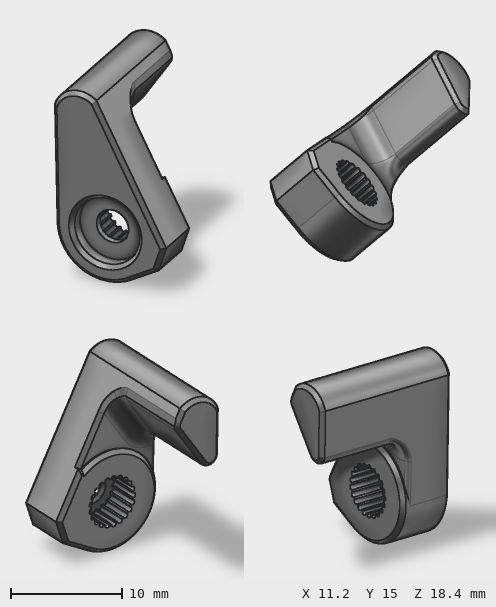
import cadquery as cq
import math

PIVOT_R = 5.0
PLATE_T = 5.0
BOSS_T = 5.5
POST_LENGTH = 15.0
EDGE = 0.4
BEVEL_ANGLE = 45.0
HOLE_D = 3.2
RECESS_D = 6.5
RECESS_DEPTH = 1.5
WEB_T = 0.7
SPLINE_TEETH = 21
SPLINE_D = 4.6
GROOVE_R = 0.24
SPLINE_PHASE = 180 / SPLINE_TEETH
POST_CORNER_R = 1.0
LEFT_OVERHANG = 0.008
RIGHT_OVERHANG = 0.02
CLEARANCE = 20.0
FLANK_RUN = 6.0
TOUCH = 0.01
ROOT_R = 2.0
SPUR_RISE = 2.0

TIP_LEFT = (-5.25, 11.55)
TIP_TOP = (-2.8, 13.37)
TIP_RIGHT = (-1.07, 12.74)
NOSE_TOP_X = 5.92
NOSE_BOTTOM = (5.15, -2.87)

POST_LEFT_Z = 7.17
POST_RIGHT_Z = 11.25


def tangent_point(corner, side):
    """Where the line from corner touches the pivot circle; side is +1 or -1."""
    angle = math.atan2(corner[1], corner[0])
    angle += side * math.acos(PIVOT_R / math.hypot(*corner))
    return (PIVOT_R * math.cos(angle), PIVOT_R * math.sin(angle))


def along(point, direction, distance):
    """Point reached from a point by going a distance in a direction."""
    return (point[0] + distance * direction[0], point[1] + distance * direction[1])


def unit(vector):
    length = math.hypot(*vector)
    return (vector[0] / length, vector[1] / length)


def bisector(first, second):
    """Unit direction halfway between two directions of equal length."""
    return unit((first[0] + second[0], first[1] + second[1]))


LEFT_TANGENT = tangent_point(TIP_LEFT, 1)
RIGHT_TANGENT = tangent_point(TIP_RIGHT, -1)
BOTTOM_TANGENT = tangent_point(NOSE_BOTTOM, -1)
LEFT_NORMAL = unit(LEFT_TANGENT)
RIGHT_NORMAL = unit(RIGHT_TANGENT)
UP_LEFT_FLANK = (LEFT_NORMAL[1], -LEFT_NORMAL[0])
UP_RIGHT_FLANK = (-RIGHT_NORMAL[1], RIGHT_NORMAL[0])
LOWER_LEFT_MID = along((0, 0), bisector(LEFT_TANGENT, BOTTOM_TANGENT), PIVOT_R)
NOSE_TOP = (NOSE_TOP_X, (PIVOT_R - RIGHT_NORMAL[0] * NOSE_TOP_X) / RIGHT_NORMAL[1])


def corner_center(normal, z, overhang):
    """Centre at height z of a post corner touching the flank with this normal."""
    return ((PIVOT_R + overhang - POST_CORNER_R - normal[1] * z) / normal[0], z)


POST_LEFT = corner_center(LEFT_NORMAL, POST_LEFT_Z, LEFT_OVERHANG)
POST_RIGHT = corner_center(RIGHT_NORMAL, POST_RIGHT_Z, RIGHT_OVERHANG)
UNDERSIDE_DIR = unit((POST_RIGHT[0] - POST_LEFT[0], POST_RIGHT[1] - POST_LEFT[1]))
UNDERSIDE_NORMAL = (UNDERSIDE_DIR[1], -UNDERSIDE_DIR[0])


def start_profile(y):
    """XZ sketch plane at the given Y; negative extrusions go toward +Y."""
    return cq.Workplane("XZ", origin=(0, y, 0))


def lower_outline(profile):
    """Continue a profile around the nose and the rounded end to the left tangent point."""
    return (
        profile.lineTo(*NOSE_TOP).lineTo(*NOSE_BOTTOM).lineTo(*BOTTOM_TANGENT)
        .threePointArc(LOWER_LEFT_MID, LEFT_TANGENT)
    )


def outline(y):
    """Whole lever outline at the given Y."""
    profile = start_profile(y).moveTo(*LEFT_TANGENT).lineTo(*TIP_LEFT).threePointArc(TIP_TOP, TIP_RIGHT)
    return lower_outline(profile).close()


def make_blank():
    """Lever outline over the full post length, bevelled at both ends."""
    middle = outline(EDGE).extrude(-(POST_LENGTH - 2 * EDGE))
    front_bevel = outline(EDGE).extrude(EDGE, taper=BEVEL_ANGLE)
    rear_bevel = outline(POST_LENGTH - EDGE).extrude(-EDGE, taper=BEVEL_ANGLE)
    return middle.union(front_bevel).union(rear_bevel)


def space_profile(y):
    """Area below the post: bounded by its rounded underside and reaching past the outline."""
    left_side = along(POST_LEFT, LEFT_NORMAL, POST_CORNER_R)
    left_mid = along(POST_LEFT, bisector(LEFT_NORMAL, UNDERSIDE_NORMAL), POST_CORNER_R)
    left_foot = along(POST_LEFT, UNDERSIDE_NORMAL, POST_CORNER_R)
    right_foot = along(POST_RIGHT, UNDERSIDE_NORMAL, POST_CORNER_R)
    right_mid = along(POST_RIGHT, bisector(RIGHT_NORMAL, UNDERSIDE_NORMAL), POST_CORNER_R)
    right_side = along(POST_RIGHT, RIGHT_NORMAL, POST_CORNER_R)
    return (
        start_profile(y)
        .moveTo(*along(left_side, UP_LEFT_FLANK, FLANK_RUN)).lineTo(*left_side)
        .threePointArc(left_mid, left_foot).lineTo(*right_foot)
        .threePointArc(right_mid, right_side)
        .lineTo(*along(right_side, UP_RIGHT_FLANK, FLANK_RUN))
        .lineTo(CLEARANCE, CLEARANCE).lineTo(CLEARANCE, -CLEARANCE)
        .lineTo(-CLEARANCE, -CLEARANCE).lineTo(-CLEARANCE, CLEARANCE).close()
    )


def make_space():
    """Space behind the plate, with the post root rounded and the post end bevelled."""
    space = space_profile(PLATE_T).extrude(-(POST_LENGTH - PLATE_T))
    space = space.faces("<Y").edges("%CIRCLE").fillet(ROOT_R)
    end_bevel = space_profile(POST_LENGTH - EDGE).extrude(-EDGE, taper=-BEVEL_ANGLE)
    return space.union(end_bevel)


def flank_edges(body, normal):
    """Straight rear edge of the plate along the flank with this outward normal."""
    return [
        edge for edge in body.edges("%LINE").vals()
        if abs(edge.Center().y - PLATE_T) < TOUCH
        and abs(edge.Center().x * normal[0] + edge.Center().z * normal[1] - PIVOT_R) < TOUCH
    ]


def make_boss():
    """Raised pivot boss, with a short spur along the right flank."""
    spur_outer = along(RIGHT_TANGENT, UP_RIGHT_FLANK, SPUR_RISE)
    spur_inner = along(spur_outer, RIGHT_NORMAL, math.sqrt(PIVOT_R**2 - SPUR_RISE**2) - PIVOT_R)
    crest = along((0, 0), bisector(LEFT_TANGENT, spur_inner), PIVOT_R)
    profile = (
        start_profile(EDGE).moveTo(*LEFT_TANGENT)
        .threePointArc(crest, spur_inner).lineTo(*spur_outer)
    )
    boss = lower_outline(profile).close().extrude(-(BOSS_T - EDGE))
    return boss.faces(">Y").chamfer(EDGE)


def make_screw_hole():
    """Through hole with a chamfered round recess in the outer face."""
    hole = start_profile(0).circle(HOLE_D / 2).extrude(-BOSS_T)
    recess = start_profile(0).circle(RECESS_D / 2).extrude(-RECESS_DEPTH)
    rim = start_profile(0).circle(RECESS_D / 2 + EDGE).extrude(-EDGE, taper=BEVEL_ANGLE)
    return hole.union(recess).union(rim)


def make_splined_socket():
    """Socket open at the rear of the boss, with round grooves between its teeth."""
    floor = RECESS_DEPTH + WEB_T
    depth = BOSS_T - floor
    bore = start_profile(floor).circle(SPLINE_D / 2).extrude(-depth)
    grooves = (
        start_profile(floor)
        .polarArray(SPLINE_D / 2, SPLINE_PHASE, 360, SPLINE_TEETH)
        .circle(GROOVE_R).extrude(-depth)
    )
    return bore.union(grooves)


lever = make_blank().cut(make_space())
lever = lever.newObject(flank_edges(lever, LEFT_NORMAL)).fillet(EDGE)
lever = lever.newObject(flank_edges(lever, RIGHT_NORMAL)).chamfer(EDGE)
result = lever.union(make_boss()).cut(make_screw_hole()).cut(make_splined_socket())